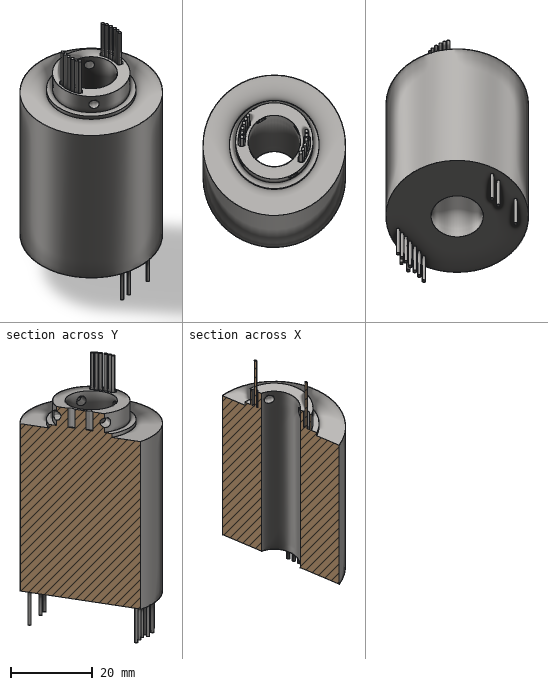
import cadquery as cq
import math


TOTAL_HEIGHT = 69.2

BODY_DIAMETER = 35.0
BODY_HEIGHT = 44.2
FLANGE_DIAMETER = 22.0
FLANGE_HEIGHT = 1.0
COLLAR_DIAMETER = 19.0
COLLAR_HEIGHT = 5.0
BORE_DIAMETER = 12.8

SCREW_HOLE_DIAMETER = 2.5
SCREW_HOLE_COUNT = 4
FIRST_SCREW_ANGLE = 45.0

SLOT_RADIUS = 8.0
SLOT_WIDTH = 1.7
SLOT_HALF_ANGLE = 19.0
SLOT_DEPTH = COLLAR_HEIGHT

WIRE_DIAMETER = 0.8
BOTTOM_WIRE_LENGTH = 9.55
TOP_WIRE_ANGLES = (-20.0, -12.4, -3.8, 5.6, 13.4, 20.6)
TOP_WIRE_RADIUS = 7.95

BOTTOM_WIRE_ROWS = (
    (-15.2, (0.4, -2.4)),
    (-14.1, (5.3, 3.4, 1.6, -0.35, -2.15, -3.7, -5.3)),
    (14.6, (4.35, -2.8, -5.3)),
)

FLANGE_TOP = BODY_HEIGHT + FLANGE_HEIGHT
COLLAR_TOP = FLANGE_TOP + COLLAR_HEIGHT
SLOT_FLOOR = COLLAR_TOP - SLOT_DEPTH
WIRE_TOP = TOTAL_HEIGHT - BOTTOM_WIRE_LENGTH
WIRE_ROOT = 0.7


def cylinder(diameter, bottom, top, x=0, y=0):
    """Upright cylinder between two levels."""
    return cq.Workplane("XY", origin=(x, y, bottom)).circle(diameter / 2).extrude(top - bottom)


def around_y(radius, angle):
    """Plan point at an angle from the +Y axis, turning towards +X."""
    turn = math.radians(angle)
    return (radius * math.sin(turn), radius * math.cos(turn))


def housing():
    """Body, flange and collar with the through bore."""
    solid = cylinder(BODY_DIAMETER, 0, BODY_HEIGHT)
    solid = solid.union(cylinder(FLANGE_DIAMETER, BODY_HEIGHT, FLANGE_TOP))
    solid = solid.union(cylinder(COLLAR_DIAMETER, FLANGE_TOP, COLLAR_TOP))
    return solid.cut(cylinder(BORE_DIAMETER, 0, COLLAR_TOP))


def screw_hole(angle):
    """Radial hole from the axis out through the collar wall."""
    hole = cq.Workplane("YZ").circle(SCREW_HOLE_DIAMETER / 2).extrude(COLLAR_DIAMETER)
    hole = hole.rotate((0, 0, 0), (0, 0, 1), angle)
    return hole.translate((0, 0, COLLAR_TOP - COLLAR_HEIGHT / 2))


def wire_slot():
    """Curved slot with round ends, centred on the +Y axis."""
    inner = SLOT_RADIUS - SLOT_WIDTH / 2
    outer = SLOT_RADIUS + SLOT_WIDTH / 2
    cap_angle = SLOT_HALF_ANGLE + math.degrees(SLOT_WIDTH / 2 / SLOT_RADIUS)
    return (
        cq.Workplane("XY", origin=(0, 0, SLOT_FLOOR))
        .moveTo(*around_y(outer, -SLOT_HALF_ANGLE))
        .threePointArc(around_y(outer, 0), around_y(outer, SLOT_HALF_ANGLE))
        .threePointArc(around_y(SLOT_RADIUS, cap_angle), around_y(inner, SLOT_HALF_ANGLE))
        .threePointArc(around_y(inner, 0), around_y(inner, -SLOT_HALF_ANGLE))
        .threePointArc(around_y(SLOT_RADIUS, -cap_angle), around_y(outer, -SLOT_HALF_ANGLE))
        .close()
        .extrude(SLOT_DEPTH)
    )


result = housing()

for index in range(SCREW_HOLE_COUNT):
    result = result.cut(screw_hole(FIRST_SCREW_ANGLE + index * 360 / SCREW_HOLE_COUNT))

result = result.cut(wire_slot()).cut(wire_slot().mirror("XZ"))
for wire_angle in TOP_WIRE_ANGLES:
    wire_x, wire_y = around_y(TOP_WIRE_RADIUS, wire_angle)
    for side in (1, -1):
        result = result.union(
            cylinder(WIRE_DIAMETER, SLOT_FLOOR - WIRE_ROOT, WIRE_TOP, wire_x, side * wire_y)
        )

for row_x, row_ys in BOTTOM_WIRE_ROWS:
    for wire_y in row_ys:
        result = result.union(
            cylinder(WIRE_DIAMETER, -BOTTOM_WIRE_LENGTH, WIRE_ROOT, row_x, wire_y)
        )